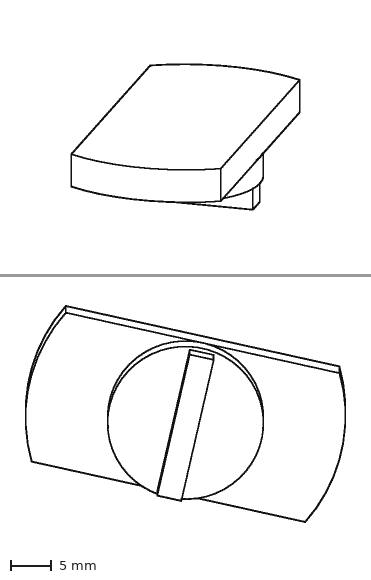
import cadquery as cq

plate_length = 39.0
plate_width = 19.0
plate_thickness = 4.2
end_radius = 20.0

boss_diameter = 19.01
boss_height = 3.4

tab_length = 18.0
tab_width = 3.0
tab_height = 3.0

boss_bottom = tab_height
plate_bottom = boss_bottom + boss_height


def make_plate():
    """Plate centred on the Z axis, with both ends bowed outward along Y."""
    half_width = plate_width / 2
    end_y = plate_length / 2
    arc_rise = end_radius - (end_radius**2 - half_width**2) ** 0.5
    corner_y = end_y - arc_rise
    return (
        cq.Workplane("XY")
        .workplane(offset=plate_bottom)
        .moveTo(half_width, -corner_y)
        .lineTo(half_width, corner_y)
        .threePointArc((0, end_y), (-half_width, corner_y))
        .lineTo(-half_width, -corner_y)
        .threePointArc((0, -end_y), (half_width, -corner_y))
        .close()
        .extrude(plate_thickness)
    )


def make_boss():
    """Cylinder centred under the plate."""
    return cq.Workplane("XY").workplane(offset=boss_bottom).circle(boss_diameter / 2).extrude(boss_height)


def make_tab():
    """Rectangular tab running along X under the boss."""
    return cq.Workplane("XY").rect(tab_length, tab_width).extrude(tab_height)


result = make_plate().union(make_boss()).union(make_tab())